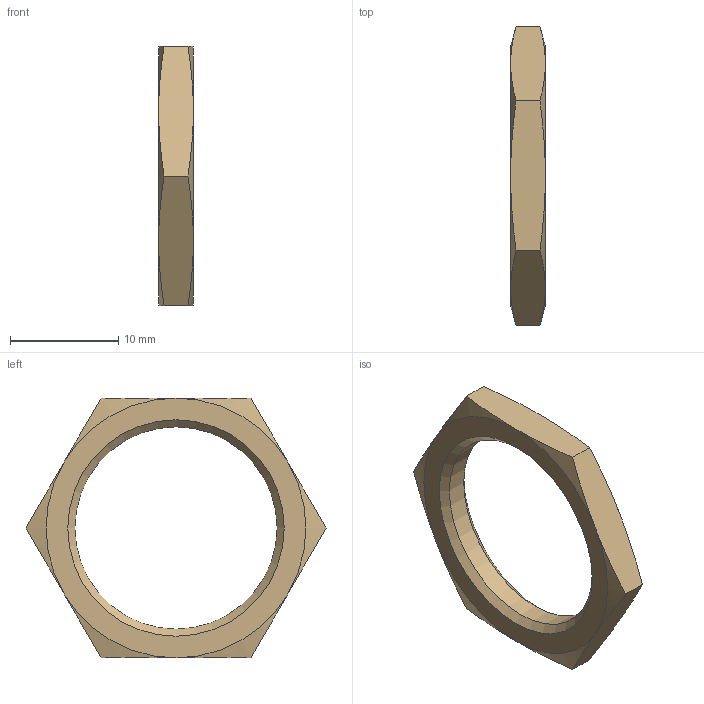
import cadquery as cq
import math

thickness = 3.2
across_flats = 24.0
bore_diameter = 18.68
bore_mouth_diameter = 20.0
bore_chamfer_angle = 45.0
corner_chamfer_angle = 15.0

across_corners = across_flats / math.cos(math.radians(30))
half_thickness = thickness / 2


def hexagon_blank():
    """Hexagonal prism centred on the origin, with corners on the Y axis."""
    return cq.Workplane("YZ").polygon(6, across_corners).extrude(half_thickness, both=True)


def turned_envelope():
    """Ring about X whose end cones bevel the corners and whose bore is chamfered at both ends."""
    face_radius = across_flats / 2
    corner_radius = across_corners / 2
    bore_radius = bore_diameter / 2
    mouth_radius = bore_mouth_diameter / 2
    bevel_depth = (corner_radius - face_radius) * math.tan(math.radians(corner_chamfer_angle))
    mouth_depth = (mouth_radius - bore_radius) * math.tan(math.radians(bore_chamfer_angle))
    bevel_x = half_thickness - bevel_depth
    mouth_x = half_thickness - mouth_depth
    profile = [
        (-mouth_x, bore_radius),
        (-half_thickness, mouth_radius),
        (-half_thickness, face_radius),
        (-bevel_x, corner_radius),
        (bevel_x, corner_radius),
        (half_thickness, face_radius),
        (half_thickness, mouth_radius),
        (mouth_x, bore_radius),
    ]
    return cq.Workplane("XY").polyline(profile).close().revolve(360, (0, 0, 0), (1, 0, 0))


result = hexagon_blank().intersect(turned_envelope())